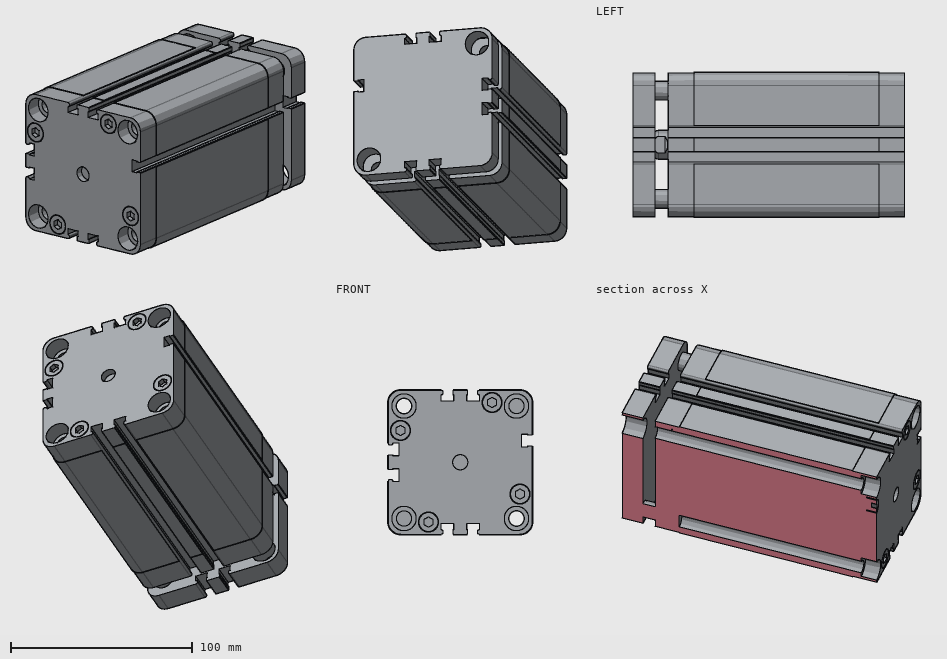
import cadquery as cq
import math


total_length = 149.5
cap_length = 14.2
plate_thickness = 12.3
rod_gap = 7.2
plate_start = total_length - plate_thickness
housing_length = plate_start - rod_gap
tube_length = housing_length - 2 * cap_length

tube_width = 80.0
cap_width = 79.2
cap_corner_radius = 6.9
tube_corner_radius = cap_corner_radius + (tube_width - cap_width) / 2

slot_floor = 33.8
slot_inner_width = 6.9
slot_pair_offset = 7.0
single_slot_offset = 12.0
step_height = 37.1
mouth_chamfer = 0.3
plain_lip = 0.5
bead_radius = 1.0

corner_offset = 31.0
corner_bore_diameter = 13.5
corner_bore_depth = 9.0
corner_hole_diameter = 8.4
plate_hole_diameter = 13.5

screw_near = 17.5
screw_far = 32.9
screw_recess_diameter = 11.0
screw_head_diameter = 10.5
screw_head_height = 6.0
socket_corner_diameter = 5.7
socket_depth = 3.0

port_diameter = 8.4
port_depth = 4.2

guide_offset = 29.8
guide_diameter = 10.5
piston_diameter = 16.0
piston_flat_width = 13.0
piston_end_round = 3.0
piston_end_depth = 1.0
flat_runout = 1.8


def section(y):
    """Workplane across the stroke at the given Y, with local axes X and Z."""
    return cq.Workplane("XZ", origin=(0, y, 0))


def rounded_bar(y, length, width, radius):
    bar = section(y).rect(width, width).extrude(-length)
    return bar.edges("|Y").fillet(radius)


def cylinders(y, length, diameter, centers):
    return section(y).pushPoints(centers).circle(diameter / 2).extrude(-length)


def plain_lip_side(x, inward):
    """Slot wall with a square step, from the floor up to the open mouth."""
    surface = cap_width / 2
    mouth_x = x + inward * plain_lip
    open_x = mouth_x - inward * mouth_chamfer
    return [
        (x, slot_floor),
        (x, step_height),
        (mouth_x, step_height),
        (mouth_x, surface - mouth_chamfer),
        (open_x, surface),
        (open_x, tube_width / 2),
    ]


def slot_pair():
    """Two mirrored slots on the top side, with round beads on their outer lips."""
    outer_x = slot_pair_offset + slot_inner_width / 2
    inner_x = slot_pair_offset - slot_inner_width / 2
    bead_x = outer_x - bead_radius
    surface = cap_width / 2
    arc_middle_x = outer_x - bead_radius * math.sin(math.pi / 4)
    arc_rise = bead_radius * (1 - math.cos(math.pi / 4))
    slot = (
        section(0)
        .polyline(plain_lip_side(inner_x, 1) + [(outer_x, tube_width / 2), (outer_x, surface)])
        .threePointArc((arc_middle_x, surface - arc_rise), (bead_x, surface - bead_radius))
        .lineTo(bead_x, step_height + bead_radius)
        .threePointArc((arc_middle_x, step_height + arc_rise), (outer_x, step_height))
        .lineTo(outer_x, slot_floor)
        .close()
        .extrude(-total_length)
    )
    return slot.union(slot.mirror("YZ"))


def single_slot():
    """One symmetric slot on the top side, left of the middle."""
    left_x = -single_slot_offset - slot_inner_width / 2
    right_x = -single_slot_offset + slot_inner_width / 2
    left_side = plain_lip_side(left_x, 1)
    right_side = plain_lip_side(right_x, -1)
    return section(0).polyline(left_side + right_side[::-1]).close().extrude(-total_length)


def turned(shape, angle):
    return shape.rotate((0, 0, 0), (0, 1, 0), angle)


def piston_rod():
    """Round rod with two wrench flats that slope out to full diameter at the housing."""
    rod_end = plate_start + piston_end_depth
    rod = cylinders(housing_length, rod_end - housing_length, piston_diameter, [(0, 0)])
    rod = rod.faces(">Y").edges().fillet(piston_end_round)
    half_flat = piston_flat_width / 2
    half_full = half_flat + flat_runout
    flat_start = housing_length + flat_runout
    outline = [
        (-half_full, housing_length),
        (half_full, housing_length),
        (half_flat, flat_start),
        (half_flat, rod_end),
        (-half_flat, rod_end),
        (-half_flat, flat_start),
    ]
    wrench_envelope = (
        cq.Workplane("XY").polyline(outline).close().extrude(piston_diameter / 2, both=True)
    )
    return rod.intersect(wrench_envelope)


def cap_screw_recess(x, z):
    """Ring around a screw head and the hexagon socket in it, one corner of it pointing up."""
    ring = cylinders(0, screw_head_height, screw_recess_diameter, [(x, z)])
    ring = ring.cut(cylinders(0, screw_head_height, screw_head_diameter, [(x, z)]))
    socket = section(0).polygon(6, socket_corner_diameter).extrude(-socket_depth)
    return ring.union(turned(socket, 90).translate((x, 0, z)))


result = rounded_bar(0, housing_length, cap_width, cap_corner_radius)
result = result.union(rounded_bar(cap_length, tube_length, tube_width, tube_corner_radius))
result = result.union(rounded_bar(plate_start, plate_thickness, cap_width, cap_corner_radius))

for side_angle in (0, 180, -90):
    result = result.cut(turned(slot_pair(), side_angle))
result = result.cut(turned(single_slot(), 90))

guide_centers = [(guide_offset, guide_offset), (-guide_offset, -guide_offset)]
result = result.union(cylinders(housing_length, rod_gap, guide_diameter, guide_centers))
result = result.union(piston_rod())

open_corners = [(-corner_offset, corner_offset), (corner_offset, -corner_offset)]
guide_corners = [(corner_offset, corner_offset), (-corner_offset, -corner_offset)]
blind_hole_depth = housing_length - cap_length
result = result.cut(
    cylinders(0, corner_bore_depth, corner_bore_diameter, open_corners + guide_corners)
)
result = result.cut(cylinders(0, housing_length, corner_hole_diameter, open_corners))
result = result.cut(cylinders(0, blind_hole_depth, corner_hole_diameter, guide_corners))
result = result.cut(cylinders(plate_start, plate_thickness, plate_hole_diameter, open_corners))

screw_centers = [
    (screw_near, screw_far),
    (screw_far, -screw_near),
    (-screw_near, -screw_far),
    (-screw_far, screw_near),
]
for screw_x, screw_z in screw_centers:
    result = result.cut(cap_screw_recess(screw_x, screw_z))

result = result.cut(cylinders(0, port_depth, port_diameter, [(0, 0)]))